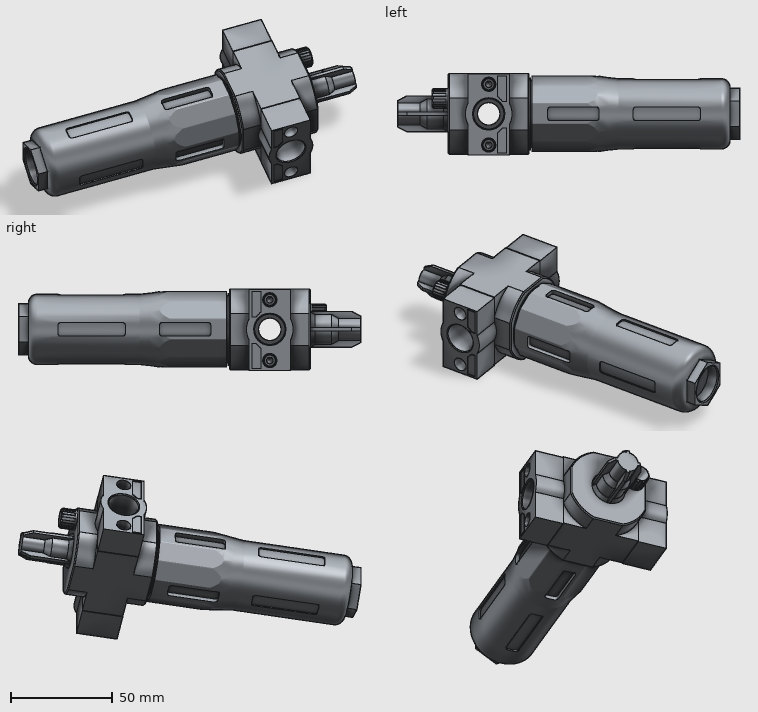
import cadquery as cq
import math


HOUSING_WIDTH = 40.0
HOUSING_HALF = HOUSING_WIDTH / 2
HOUSING_ROUND_RADIUS = 21.5
HOUSING_CHAMFER = 0.6
CROSS_BAR_WIDTH = 20.4
COLLAR_RADIUS = 17.8
COLLAR_THICKNESS = 0.6
FLOW_DIAMETER = 11.0

DOME_END_Y = 45.0
DOME_TIP_RADIUS = 5.5
DOME_BASE_RADIUS = 14.95 / 2
DOME_FLARE_RADIUS = 8.8
DOME_FLARE_TOP_Y = 22.2
DOME_SHOULDER_Y = 30.4
DOME_NECK_Y = 33.9
FIN_HALF_WIDTH = 8.9
FIN_TIP_HALF_WIDTH = 6.5
FIN_TAPER_LENGTH = 4.6
FIN_THICKNESS = 1.7

FILLER_X = -13.8
FILLER_Z = 7.6
FILLER_RADIUS = 5.0
FILLER_TOP_Y = 28.0
FILLER_CHAMFER = 0.8
FLUTE_COUNT = 10
FLUTE_START_ANGLE = 13.0
FLUTE_WIDTH = 1.5
FLUTE_DEPTH = 0.5
FLUTE_BASE_Y = 21.0

PLATE_THICKNESS = 15.0
PLATE_HEIGHT = 40.0
PLATE_CENTER_Z = -0.4
PLATE_BOSS_RADIUS = 11.5
PORT_DIAMETER = 14.95
PORT_CHAMFER = 0.475
PLATE_OUTER_X = -HOUSING_HALF - PLATE_THICKNESS
LABEL_INNER_Y = -4.4
LABEL_OUTER_Y = -8.8
LABEL_NEAR = 6.6
LABEL_FAR = 19.0
LABEL_BEVEL = 2.4
LABEL_DEPTH = 0.3

SCREW_HALF_SPACING = 15.0
SCREW_RECESS_DIAMETER = 7.0
SCREW_RECESS_DEPTH = 11.0
SCREW_HEAD_DIAMETER = 6.3
SCREW_HEAD_HEIGHT = 4.0
SCREW_HEAD_CHAMFER = 0.4
SCREW_DIAMETER = 4.0
SCREW_LENGTH = 12.0
SOCKET_DIAMETER = 3.2
SOCKET_DEPTH = 2.0
SOCKET_CONE_DEPTH = 0.9

GUARD_TOP_Y = -21.3
GUARD_TAPER_START_Y = -49.2
GUARD_TAPER_END_Y = -64.2
GUARD_END_Y = -119.2
GRIP_SIDES = 12
GRIP_ACROSS_FLATS = 37.4
GRIP_CORNER_RADIUS = 19.3
GUARD_RADIUS = 17.4
GUARD_END_RADIUS = 4.5
WINDOW_WIDTH = 6.8
WINDOW_CORNER_RADIUS = 1.4
WINDOW_SPANS = [(-54.4, -29.1), (-104.5, -71.3)]

BOWL_RADIUS = 16.6
BOWL_SHOULDER_Y = -113.0
BOWL_END_Y = -124.0
HEX_SIDES = 6
HEX_ACROSS_FLATS = 22.0
HEX_RECESS_RADIUS = 9.2
HEX_RECESS_DEPTH = 6.0
HEX_RECESS_CHAMFER = 0.6


def revolve_about_y(points):
    """Solid of revolution about Y from a closed (radius, y) outline."""
    return cq.Workplane("XY").polyline(points).close().revolve(360, (0, 0), (0, 1))


def prism_along_y(sides, across_flats, start_y, end_y, turn):
    """Regular prism along Y between two heights, turned about Y by an angle in degrees."""
    corner_circle = across_flats / math.cos(math.pi / sides)
    prism = cq.Workplane("XZ", origin=(0, end_y, 0)).polygon(sides, corner_circle).extrude(end_y - start_y)
    return prism.rotate((0, 0, 0), (0, 1, 0), turn)


def cylinder_along_x(diameter, start_x, length, z=0.0):
    return cq.Workplane("YZ", origin=(start_x, 0, z)).circle(diameter / 2).extrude(length)


RECESS_FLOOR_X = PLATE_OUTER_X + SCREW_RECESS_DEPTH
HEAD_TOP_X = RECESS_FLOOR_X - SCREW_HEAD_HEIGHT
SCREW_HEIGHTS = [PLATE_CENTER_Z + side * SCREW_HALF_SPACING for side in (-1, 1)]


def screw_shank(z):
    return cylinder_along_x(SCREW_DIAMETER, RECESS_FLOOR_X, SCREW_LENGTH, z)


def make_screw(z):
    head = cylinder_along_x(SCREW_HEAD_DIAMETER, HEAD_TOP_X, SCREW_HEAD_HEIGHT, z)
    head = head.faces("<X").chamfer(SCREW_HEAD_CHAMFER)
    socket = cylinder_along_x(SOCKET_DIAMETER, HEAD_TOP_X, SOCKET_DEPTH, z)
    socket_tip = cq.Solid.makeCone(
        SOCKET_DIAMETER / 2, 0, SOCKET_CONE_DEPTH,
        cq.Vector(HEAD_TOP_X + SOCKET_DEPTH, 0, z), cq.Vector(1, 0, 0),
    )
    return head.union(screw_shank(z)).cut(socket).cut(cq.Workplane(socket_tip))


def make_label_recess(side):
    """Shallow bevelled pocket above (+1) or below (-1) the port."""
    outline = [
        (LABEL_INNER_Y, LABEL_FAR),
        (LABEL_OUTER_Y, LABEL_FAR),
        (LABEL_OUTER_Y, LABEL_NEAR),
        (LABEL_INNER_Y - LABEL_BEVEL, LABEL_NEAR),
        (LABEL_INNER_Y, LABEL_NEAR + LABEL_BEVEL),
    ]
    points = [(y, PLATE_CENTER_Z + side * height) for y, height in outline]
    return cq.Workplane("YZ", origin=(PLATE_OUTER_X, 0, 0)).polyline(points).close().extrude(LABEL_DEPTH)


def make_plate():
    plate = cq.Workplane("YZ", origin=(PLATE_OUTER_X, 0, PLATE_CENTER_Z))
    plate = plate.rect(CROSS_BAR_WIDTH, PLATE_HEIGHT).extrude(PLATE_THICKNESS)
    plate = plate.union(cylinder_along_x(2 * PLATE_BOSS_RADIUS, PLATE_OUTER_X, PLATE_THICKNESS))
    port = cylinder_along_x(PORT_DIAMETER, PLATE_OUTER_X, PLATE_THICKNESS)
    port_mouth = cq.Solid.makeCone(
        PORT_DIAMETER / 2 + PORT_CHAMFER, PORT_DIAMETER / 2, PORT_CHAMFER,
        cq.Vector(PLATE_OUTER_X, 0, 0), cq.Vector(1, 0, 0),
    )
    plate = plate.cut(port).cut(cq.Workplane(port_mouth))
    for z in SCREW_HEIGHTS:
        plate = plate.cut(cylinder_along_x(SCREW_RECESS_DIAMETER, PLATE_OUTER_X, SCREW_RECESS_DEPTH, z))
        plate = plate.cut(screw_shank(z))
    for side in (-1, 1):
        plate = plate.cut(make_label_recess(side))
    return plate


def make_dome():
    core = revolve_about_y([
        (0, HOUSING_HALF),
        (DOME_FLARE_RADIUS, HOUSING_HALF),
        (DOME_BASE_RADIUS, DOME_FLARE_TOP_Y),
        (DOME_BASE_RADIUS, DOME_SHOULDER_Y),
        (DOME_TIP_RADIUS, DOME_NECK_Y),
        (DOME_TIP_RADIUS, DOME_END_Y),
        (0, DOME_END_Y),
    ])
    fin_outline = [
        (-FIN_HALF_WIDTH, HOUSING_HALF),
        (FIN_HALF_WIDTH, HOUSING_HALF),
        (FIN_HALF_WIDTH, DOME_END_Y - FIN_TAPER_LENGTH),
        (FIN_TIP_HALF_WIDTH, DOME_END_Y),
        (-FIN_TIP_HALF_WIDTH, DOME_END_Y),
        (-FIN_HALF_WIDTH, DOME_END_Y - FIN_TAPER_LENGTH),
    ]
    for plane in ("XY", "ZY"):
        fin_pair = cq.Workplane(plane).polyline(fin_outline).close().extrude(FIN_THICKNESS / 2, both=True)
        core = core.union(fin_pair)
    return core


def make_filler_plug():
    height = FILLER_TOP_Y - HOUSING_HALF
    plug = cq.Workplane("XZ", origin=(0, FILLER_TOP_Y, 0)).circle(FILLER_RADIUS).extrude(height)
    plug = plug.faces(">Y").chamfer(FILLER_CHAMFER)
    flute = cq.Workplane("XY").box(
        2 * FLUTE_DEPTH, FILLER_TOP_Y - FLUTE_BASE_Y, FLUTE_WIDTH, centered=(True, False, True)
    ).translate((FILLER_RADIUS, FLUTE_BASE_Y, 0))
    for index in range(FLUTE_COUNT):
        angle = FLUTE_START_ANGLE + index * 360 / FLUTE_COUNT
        plug = plug.cut(flute.rotate((0, 0, 0), (0, 1, 0), -angle))
    return plug.translate((FILLER_X, 0, FILLER_Z))


def make_housing():
    block = cq.Workplane("XY").box(HOUSING_WIDTH, HOUSING_WIDTH, HOUSING_WIDTH)
    barrel = cq.Workplane("XZ").circle(HOUSING_ROUND_RADIUS).extrude(HOUSING_HALF, both=True)
    rounded = block.intersect(barrel).faces("<Y or >Y").chamfer(HOUSING_CHAMFER)
    cross_bar = cq.Workplane("XY").box(HOUSING_WIDTH, CROSS_BAR_WIDTH, HOUSING_WIDTH)
    collar = cq.Workplane("XZ", origin=(0, -HOUSING_HALF, 0)).circle(COLLAR_RADIUS).extrude(COLLAR_THICKNESS)
    housing = rounded.union(cross_bar).union(collar).union(make_dome()).union(make_filler_plug())
    housing = housing.cut(cylinder_along_x(FLOW_DIAMETER, -HOUSING_HALF, HOUSING_WIDTH))
    for z in SCREW_HEIGHTS:
        shank = screw_shank(z)
        housing = housing.cut(shank).cut(shank.mirror("YZ"))
    return housing


def make_bowl():
    neck_y = -HOUSING_HALF - COLLAR_THICKNESS
    bowl = cq.Workplane("XZ", origin=(0, neck_y, 0)).circle(BOWL_RADIUS).extrude(neck_y - BOWL_SHOULDER_Y)
    hexagon = prism_along_y(HEX_SIDES, HEX_ACROSS_FLATS, BOWL_END_Y, BOWL_SHOULDER_Y, 180 / HEX_SIDES)
    bowl = bowl.union(hexagon)
    recess = revolve_about_y([
        (0, BOWL_END_Y),
        (HEX_RECESS_RADIUS + HEX_RECESS_CHAMFER, BOWL_END_Y),
        (HEX_RECESS_RADIUS, BOWL_END_Y + HEX_RECESS_CHAMFER),
        (HEX_RECESS_RADIUS, BOWL_END_Y + HEX_RECESS_DEPTH),
        (0, BOWL_END_Y + HEX_RECESS_DEPTH),
    ])
    return bowl.cut(recess)


def make_windows(start_y, end_y):
    """Four round-cornered window cutters, one on each side of the guard."""
    length = end_y - start_y
    cutter = cq.Workplane("XY", origin=(0, (start_y + end_y) / 2, 0))
    cutter = cutter.rect(WINDOW_WIDTH, length).extrude(GRIP_CORNER_RADIUS)
    cutter = cutter.edges("|Z").fillet(WINDOW_CORNER_RADIUS)
    return [cutter.rotate((0, 0, 0), (0, 1, 0), 90 * quarter) for quarter in range(4)]


def make_guard(bowl):
    body = revolve_about_y([
        (0, GUARD_TOP_Y),
        (GRIP_CORNER_RADIUS, GUARD_TOP_Y),
        (GRIP_CORNER_RADIUS, GUARD_TAPER_START_Y),
        (GUARD_RADIUS, GUARD_TAPER_END_Y),
        (GUARD_RADIUS, GUARD_END_Y),
        (0, GUARD_END_Y),
    ]).faces("<Y").edges().fillet(GUARD_END_RADIUS)
    grip = prism_along_y(GRIP_SIDES, GRIP_ACROSS_FLATS, GUARD_END_Y, GUARD_TOP_Y, 180 / GRIP_SIDES)
    guard = body.intersect(grip)
    for start_y, end_y in WINDOW_SPANS:
        for window in make_windows(start_y, end_y):
            guard = guard.cut(window)
    return guard.cut(bowl)


housing = make_housing()
bowl = make_bowl()
guard = make_guard(bowl)
plate = make_plate()
plates = [plate, plate.mirror("YZ")]
screws = []
for z in SCREW_HEIGHTS:
    screw = make_screw(z)
    screws += [screw, screw.mirror("YZ")]

bodies = [housing, bowl, guard, *plates, *screws]
result = cq.Compound.makeCompound([body.solids().val() for body in bodies])